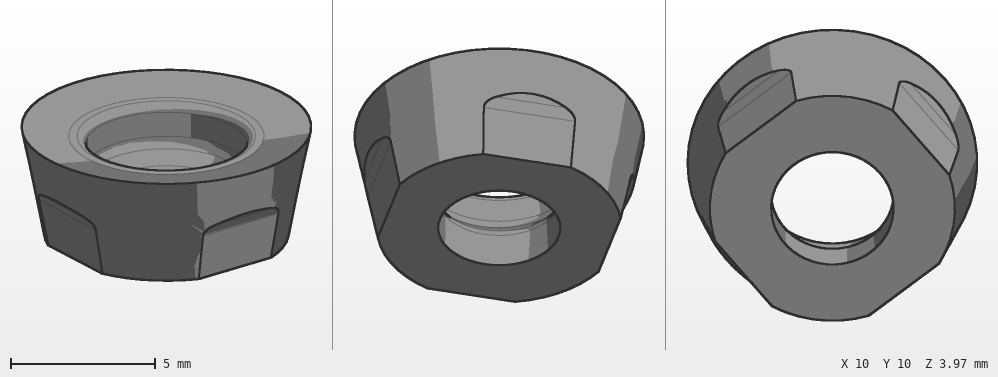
import cadquery as cq
import math

outer_radius = 5.0
height = 3.97
relief_angle = math.radians(11)
bottom_radius = outer_radius - height * math.tan(relief_angle)

rake_angle = math.radians(12)
ring_outer_radius = 3.37
ring_z = height - (outer_radius - ring_outer_radius) * math.tan(rake_angle)

counterbore_radius = 2.78
mouth_rounding = 0.3
bore_radius = 2.11
seat_angle = math.radians(42)
seat_top_rounding = 0.6
seat_bottom_rounding = 0.4
seat_top_z = 2.42
seat_top_radius = counterbore_radius - seat_top_rounding * (1 - math.cos(seat_angle))
seat_bottom_radius = bore_radius + seat_bottom_rounding * (1 - math.cos(seat_angle))
seat_start_z = seat_top_z - seat_top_rounding * math.sin(seat_angle)
seat_end_z = seat_start_z - (seat_top_radius - seat_bottom_radius) / math.tan(seat_angle)
bore_top_z = seat_end_z - seat_bottom_rounding * math.sin(seat_angle)

flat_count = 4
flat_bottom_distance = 3.93
flat_top_z = 1.76
ramp_angle = math.radians(45)
ramp_rounding = 0.73
cut_reach = 6.0


def arc_point(center, radius, angle):
    return (center[0] + radius * math.cos(angle), center[1] + radius * math.sin(angle))


def make_body():
    """Revolve the wall between the relief cone and the screw hole."""
    mouth_center = (counterbore_radius + mouth_rounding, ring_z - mouth_rounding)
    seat_top_center = (counterbore_radius - seat_top_rounding, seat_top_z)
    seat_bottom_center = (bore_radius + seat_bottom_rounding, bore_top_z)
    profile = (
        cq.Workplane("XZ")
        .moveTo(bore_radius, 0)
        .lineTo(bottom_radius, 0)
        .lineTo(outer_radius, height)
        .lineTo(ring_outer_radius, ring_z)
        .lineTo(mouth_center[0], ring_z)
        .threePointArc(
            arc_point(mouth_center, mouth_rounding, math.radians(135)),
            (counterbore_radius, mouth_center[1]),
        )
        .lineTo(counterbore_radius, seat_top_z)
        .threePointArc(
            arc_point(seat_top_center, seat_top_rounding, -seat_angle / 2),
            (seat_top_radius, seat_start_z),
        )
        .lineTo(seat_bottom_radius, seat_end_z)
        .threePointArc(
            arc_point(seat_bottom_center, seat_bottom_rounding, math.pi - seat_angle / 2),
            (bore_radius, bore_top_z),
        )
        .close()
    )
    return profile.revolve(360, (0, 0, 0), (0, 1, 0))


def make_flat_cutter():
    """Prism that removes one clamping flat and its rounded ramp on the +X side."""
    flat_top_x = flat_bottom_distance + flat_top_z * math.tan(relief_angle)
    rounding_center = (
        flat_top_x + ramp_rounding * math.cos(relief_angle),
        flat_top_z - ramp_rounding * math.sin(relief_angle),
    )
    middle_angle = math.pi - (relief_angle + ramp_angle) / 2
    ramp_start = arc_point(rounding_center, ramp_rounding, math.pi - ramp_angle)
    ramp_end_z = ramp_start[1] + (cut_reach - ramp_start[0]) / math.tan(ramp_angle)
    profile = (
        cq.Workplane("XZ")
        .moveTo(flat_bottom_distance, 0)
        .lineTo(flat_top_x, flat_top_z)
        .threePointArc(arc_point(rounding_center, ramp_rounding, middle_angle), ramp_start)
        .lineTo(cut_reach, ramp_end_z)
        .lineTo(cut_reach, 0)
        .close()
    )
    return profile.extrude(outer_radius, both=True)


result = make_body()
flat_cutter = make_flat_cutter()
for index in range(flat_count):
    turn = index * 360 / flat_count
    result = result.cut(flat_cutter.rotate((0, 0, 0), (0, 0, 1), turn))